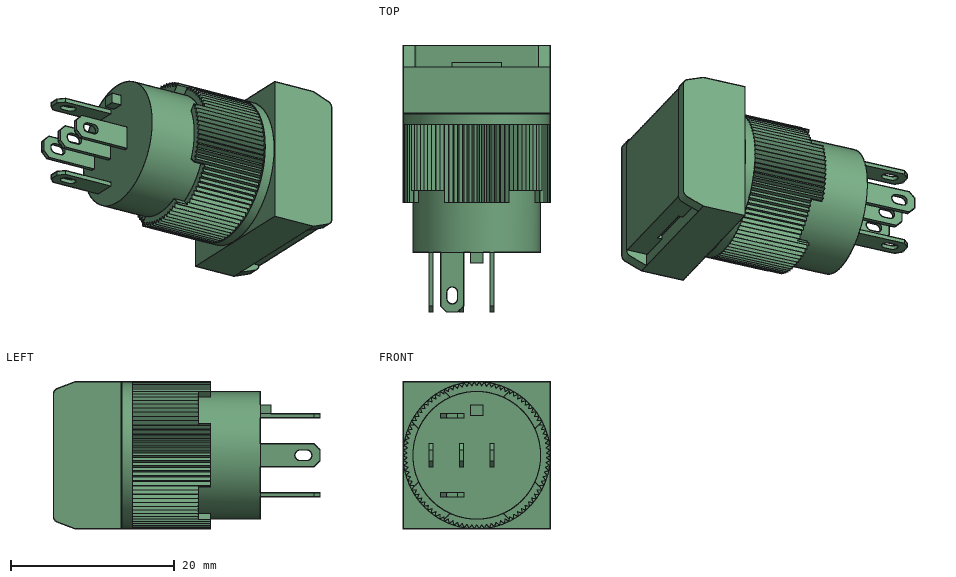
import cadquery as cq
import math


bezel_side = 18.0
bezel_depth = 8.28
window_side = 15.05
window_depth = 2.67
wall_taper = 1.0
wall_corner_radius = 0.78

barrel_diameter = 15.62
barrel_length = 17.02

peg_width = 1.53
peg_height = 1.27
peg_length = 1.3
peg_center_z = 5.5

terminal_length = 7.3
terminal_width = 2.85
terminal_thickness = 0.52
terminal_chamfer = 0.75
eyelet_length = 2.05
eyelet_width = 1.27
eyelet_to_tip = 2.05
upright_pitch = 3.72
upright_middle_x = -1.85
flat_x = -3.0
flat_z = 4.83

cap_edge_radius = 0.3
pry_width = 6.03
pry_length = 0.6
pry_depth = 0.5

washer_gap = 0.1
washer_diameter = bezel_side
washer_thickness = 1.27

nut_diameter = bezel_side
nut_length = 9.55
tooth_count = 90
tooth_depth = 0.5
notch_width = 5.45
notch_depth = 1.47

window_floor_y = bezel_depth - window_depth
washer_rear_y = -washer_gap - washer_thickness
nut_rear_y = washer_rear_y - nut_length
barrel_end_y = -barrel_length


def cylinder(diameter, front_y, length):
    """Cylinder on the switch axis, running from front_y toward -Y."""
    return cq.Workplane("XZ", origin=(0, front_y, 0)).circle(diameter / 2).extrude(length)


def block(size_x, size_z, rear_y, length, center_z=0):
    """Box centered on X = 0, running from rear_y toward +Y."""
    return cq.Workplane("XY").box(size_x, length, size_z, centered=(True, False, True)).translate(
        (0, rear_y, center_z)
    )


def make_bezel():
    half = bezel_side / 2
    profile = [
        (0, -half),
        (window_floor_y, -half),
        (bezel_depth, wall_taper - half),
        (bezel_depth, half - wall_taper),
        (window_floor_y, half),
        (0, half),
    ]
    bezel = cq.Workplane("YZ").polyline(profile).close().extrude(half, both=True)
    bezel = bezel.faces(">Y").edges("|X").fillet(wall_corner_radius)
    return bezel.cut(block(window_side, bezel_side, window_floor_y, window_depth))


def make_terminal():
    """Flat terminal along -Y on the barrel's end face, lying in the XY plane at X = Z = 0."""
    center_y = barrel_end_y - terminal_length / 2
    eyelet_y = barrel_end_y - terminal_length + eyelet_to_tip
    blade = cq.Workplane("XY").box(terminal_width, terminal_length, terminal_thickness)
    blade = blade.translate((0, center_y, 0)).faces("<Y").edges("|Z").chamfer(terminal_chamfer)
    eyelet = (
        cq.Workplane("XY", origin=(0, eyelet_y, 0))
        .slot2D(eyelet_length, eyelet_width, 90)
        .extrude(terminal_thickness, both=True)
    )
    return blade.cut(eyelet)


def make_housing():
    housing = make_bezel().union(cylinder(barrel_diameter, 0, barrel_length))
    housing = housing.union(
        block(peg_width, peg_height, barrel_end_y - peg_length, peg_length, peg_center_z)
    )
    flat = make_terminal()
    for z in (-flat_z, flat_z):
        housing = housing.union(flat.translate((flat_x, 0, z)))
    upright = flat.rotate((0, 0, 0), (0, 1, 0), 90)
    for step in (-1, 0, 1):
        housing = housing.union(upright.translate((upright_middle_x + step * upright_pitch, 0, 0)))
    return housing


def make_cap():
    cap = block(window_side, window_side, window_floor_y, window_depth)
    cap = cap.edges("|Y").fillet(cap_edge_radius)
    for side in (-1, 1):
        recess_z = side * (window_side - pry_depth) / 2
        cap = cap.cut(block(pry_width, pry_depth, window_floor_y, pry_length, recess_z))
    return cap


def make_washer():
    washer = cylinder(washer_diameter, -washer_gap, washer_thickness)
    return washer.cut(cylinder(barrel_diameter, -washer_gap, washer_thickness))


def make_nut():
    """Toothed ring with two crossed diagonal slots in its rear face."""
    tip_radius = nut_diameter / 2
    outline = []
    for index in range(2 * tooth_count):
        radius = tip_radius - tooth_depth * (index % 2)
        angle = math.pi * index / tooth_count
        outline.append((radius * math.cos(angle), radius * math.sin(angle)))
    nut = cq.Workplane("XZ", origin=(0, washer_rear_y, 0)).polyline(outline).close().extrude(nut_length)
    nut = nut.cut(cylinder(barrel_diameter, washer_rear_y, nut_length))
    slot = block(2 * nut_diameter, notch_width, nut_rear_y, notch_depth)
    for angle in (45, -45):
        nut = nut.cut(slot.rotate((0, 0, 0), (0, 1, 0), angle))
    return nut


housing = make_housing()
cap = make_cap()
washer = make_washer()
nut = make_nut()

result = cq.Compound.makeCompound([housing.val(), cap.val(), washer.val(), nut.val()])